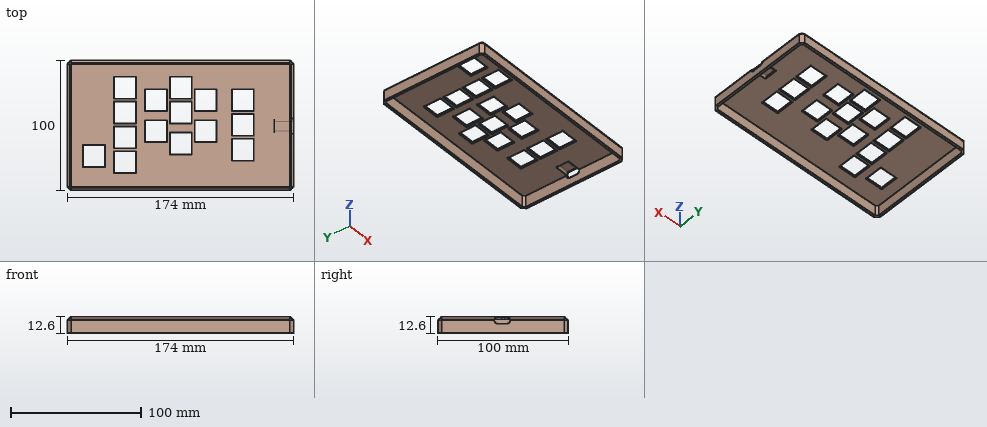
import cadquery as cq
import math

LENGTH = 173.98
WIDTH = 100.0
HEIGHT = 12.64
EDGE_CHAMFER = 3.0
WALL = 2.0
PLATE_THICKNESS = 2.0
CAVITY_CORNER_CHAMFER = EDGE_CHAMFER - WALL * (2 - math.sqrt(2))

KEY_UNIT = 19.05
KEY_OPENING = 16.6
FIRST_COLUMN_X = -66.35
FIRST_ROW_Y = 28.86

KEY_COLUMNS = [
    (0.0, [2.75]),
    (1.25, [0.0, 1.0, 2.0, 3.0]),
    (2.5, [0.5, 1.75]),
    (3.5, [0.0, 1.0, 2.25]),
    (4.5, [0.5, 1.75]),
    (6.0, [0.5, 1.5, 2.5]),
]

PORT_HEIGHT = 5.0
PORT_WIDTH = 12.2
PORT_SKIN = 0.4
PORT_REACH = 15.0
PORT_Y = -0.55


def make_shell():
    """Chamfered box, hollow and open at the bottom."""
    body = cq.Workplane("XY").box(LENGTH, WIDTH, HEIGHT, centered=(True, True, False))
    body = body.edges("|Z or >Z").chamfer(EDGE_CHAMFER)
    cavity = cq.Workplane("XY").box(
        LENGTH - 2 * WALL,
        WIDTH - 2 * WALL,
        HEIGHT - PLATE_THICKNESS,
        centered=(True, True, False),
    )
    cavity = cavity.edges("|Z").chamfer(CAVITY_CORNER_CHAMFER)
    return body.cut(cavity)


def make_key_openings():
    """Square cutters that pass through the top plate."""
    centers = [
        (FIRST_COLUMN_X + column * KEY_UNIT, FIRST_ROW_Y - row * KEY_UNIT)
        for column, rows in KEY_COLUMNS
        for row in rows
    ]
    return cq.Workplane("XY").pushPoints(centers).rect(KEY_OPENING, KEY_OPENING).extrude(HEIGHT)


def make_port():
    """Round-ended cutter that opens the +X wall and grooves the plate's underside."""
    center_z = HEIGHT - PORT_SKIN - PORT_HEIGHT / 2
    return (
        cq.Workplane("YZ", origin=(LENGTH / 2 - PORT_REACH, PORT_Y, center_z))
        .slot2D(PORT_WIDTH, PORT_HEIGHT)
        .extrude(PORT_REACH)
    )


result = make_shell().cut(make_key_openings()).cut(make_port())